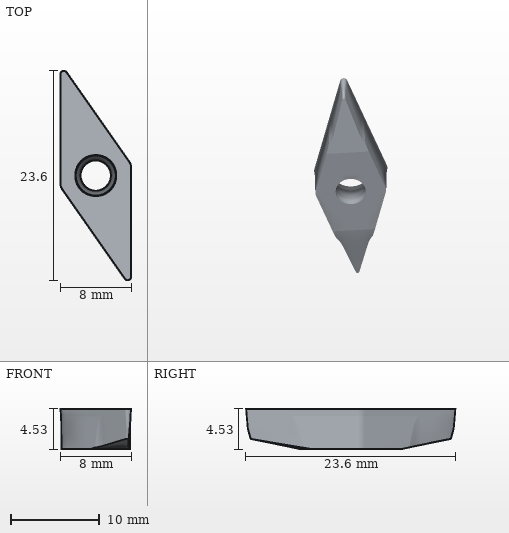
import math

import cadquery as cq

HALF_WIDTH = 4.0
THICKNESS = 4.53
POINT_ANGLE = 35.0
RELIEF_ANGLE = 5.0
NOSE_RADIUS = 0.397
CORNER_RADIUS = 1.15
NOSE_CONE_DEPTH = 2.2

PANEL_TOP_DEPTH = 0.78
PANEL_RELIEF_ANGLE = 1.0
PANEL_LENGTH = 8.0
RUNOUT_RADIUS = 4.0
CORE_NOSE_RADIUS = 1.5

RAMP_START = 5.27
RAMP_ANGLE = 10.0

HOLE_DIAMETER = 3.4
SEAT_DIAMETER = 4.66
SEAT_WALL_DEPTH = 0.93
SEAT_WALL_BOTTOM_DIAMETER = 4.5
SEAT_BAND_DEPTH = 1.12
SEAT_BAND_BOTTOM_DIAMETER = 4.3
SEAT_RADIUS = 3.0

HALF_POINT = math.radians(POINT_ANGLE / 2)
PANEL_SLOPE = math.tan(math.radians(PANEL_RELIEF_ANGLE))
RELIEF_SLOPE = math.tan(math.radians(RELIEF_ANGLE))
MARGIN = 10.0


def from_diagonals(along, across):
    """XY point from distances along the long diagonal (towards +Y, -X) and across it."""
    x = across * math.cos(HALF_POINT) - along * math.sin(HALF_POINT)
    y = across * math.sin(HALF_POINT) + along * math.cos(HALF_POINT)
    return (x, y)


def rounded_rhombus(depth, inset, nose_radius):
    """Wire at a depth below the top face, offset inward from the outline of that face."""
    apothem = HALF_WIDTH - inset
    corner_radius = CORNER_RADIUS - inset
    nose_centre = (apothem - nose_radius) / math.sin(HALF_POINT)
    corner_centre = (apothem - corner_radius) / math.cos(HALF_POINT)
    nose_along = nose_centre + nose_radius * math.sin(HALF_POINT)
    nose_across = nose_radius * math.cos(HALF_POINT)
    corner_along = corner_radius * math.sin(HALF_POINT)
    corner_across = corner_centre + corner_radius * math.cos(HALF_POINT)
    nose_tip = nose_centre + nose_radius
    corner_tip = corner_centre + corner_radius
    return (
        cq.Workplane("XY", origin=(0, 0, -depth))
        .moveTo(*from_diagonals(nose_along, -nose_across))
        .threePointArc(from_diagonals(nose_tip, 0), from_diagonals(nose_along, nose_across))
        .lineTo(*from_diagonals(corner_along, corner_across))
        .threePointArc(from_diagonals(0, corner_tip), from_diagonals(-corner_along, corner_across))
        .lineTo(*from_diagonals(-nose_along, nose_across))
        .threePointArc(from_diagonals(-nose_tip, 0), from_diagonals(-nose_along, -nose_across))
        .lineTo(*from_diagonals(-corner_along, -corner_across))
        .threePointArc(from_diagonals(0, -corner_tip), from_diagonals(corner_along, -corner_across))
        .close()
        .val()
    )


def flanked_body():
    """Relieved body: conical noses above, constant nose radius below."""
    middle_inset = NOSE_CONE_DEPTH * RELIEF_SLOPE
    bottom_inset = THICKNESS * RELIEF_SLOPE
    lower_nose = NOSE_RADIUS - middle_inset
    top = rounded_rhombus(0, 0, NOSE_RADIUS)
    middle = rounded_rhombus(NOSE_CONE_DEPTH, middle_inset, lower_nose)
    bottom = rounded_rhombus(THICKNESS, bottom_inset, lower_nose)
    return cq.Workplane(cq.Solid.makeLoft([top, middle, bottom], True))


def flank_cutter():
    """Material outside the -X flank near the +Y tip, with the concave runout of the panel."""
    panel_end = PANEL_LENGTH - HALF_WIDTH * math.tan(HALF_POINT)
    height = THICKNESS * RELIEF_SLOPE
    run = math.sqrt(2 * RUNOUT_RADIUS * height - height**2)
    half_angle = math.asin(run / RUNOUT_RADIUS) / 2
    arc_middle = (-RUNOUT_RADIUS * math.sin(half_angle), RUNOUT_RADIUS * (1 - math.cos(half_angle)))
    relief = math.radians(RELIEF_ANGLE)
    flank = cq.Plane(
        origin=(-HALF_WIDTH, panel_end, 0),
        xDir=(0, 1, 0),
        normal=(-math.sin(relief), 0, math.cos(relief)),
    )
    return (
        cq.Workplane(flank)
        .lineTo(MARGIN, 0)
        .lineTo(MARGIN, height)
        .lineTo(-run, height)
        .threePointArc(arc_middle, (0, 0))
        .close()
        .extrude(MARGIN, both=True)
    )


def across_long_diagonal(body):
    """Mirror image of a body in the upright plane through the long diagonal."""
    normal = from_diagonals(0, 1)
    return body.mirror(cq.Vector(*normal, 0), (0, 0, 0))


def half_turn(body):
    return body.rotate((0, 0, 0), (0, 0, 1), 180)


def panel_core():
    """Nearly upright body whose sides are the seating panels."""
    top_inset = PANEL_TOP_DEPTH * RELIEF_SLOPE
    bottom_inset = top_inset + (THICKNESS - PANEL_TOP_DEPTH) * PANEL_SLOPE
    top = rounded_rhombus(PANEL_TOP_DEPTH, top_inset, CORE_NOSE_RADIUS)
    bottom = rounded_rhombus(THICKNESS, bottom_inset, CORE_NOSE_RADIUS)
    core = cq.Workplane(cq.Solid.makeLoft([top, bottom], True))
    cutter = flank_cutter()
    for body in (cutter, across_long_diagonal(cutter)):
        core = core.cut(body).cut(half_turn(body))
    return core


def ramp_cutter():
    """Wedge below the underside ramp of the +Y tip."""
    length = 2 * MARGIN
    rise = length * math.tan(math.radians(RAMP_ANGLE))
    section = cq.Plane(
        origin=(*from_diagonals(RAMP_START, 0), -THICKNESS),
        xDir=(*from_diagonals(1, 0), 0),
        normal=(*from_diagonals(0, 1), 0),
    )
    return (
        cq.Workplane(section)
        .polyline([(0, 0), (length, rise), (length, -MARGIN), (0, -MARGIN)])
        .close()
        .extrude(MARGIN, both=True)
    )


def screw_hole():
    """Through hole with a steep upper wall, a conical band and a rounded screw seat."""
    hole_radius = HOLE_DIAMETER / 2
    seat_top_radius = SEAT_BAND_BOTTOM_DIAMETER / 2
    offset = SEAT_RADIUS - (seat_top_radius - hole_radius)
    seat_height = math.sqrt(SEAT_RADIUS**2 - offset**2)
    half_angle = math.acos(offset / SEAT_RADIUS) / 2
    seat_depth = SEAT_BAND_DEPTH + seat_height
    arc_middle = (
        hole_radius + SEAT_RADIUS * (1 - math.cos(half_angle)),
        -seat_depth + SEAT_RADIUS * math.sin(half_angle),
    )
    return (
        cq.Workplane("XZ")
        .lineTo(SEAT_DIAMETER / 2, 0)
        .lineTo(SEAT_WALL_BOTTOM_DIAMETER / 2, -SEAT_WALL_DEPTH)
        .lineTo(seat_top_radius, -SEAT_BAND_DEPTH)
        .threePointArc(arc_middle, (hole_radius, -seat_depth))
        .lineTo(hole_radius, -THICKNESS)
        .lineTo(0, -THICKNESS)
        .close()
        .revolve(360, (0, 0, 0), (0, 1, 0))
    )


insert = flanked_body().union(panel_core())
ramp = ramp_cutter()
result = insert.cut(ramp).cut(half_turn(ramp)).cut(screw_hole())